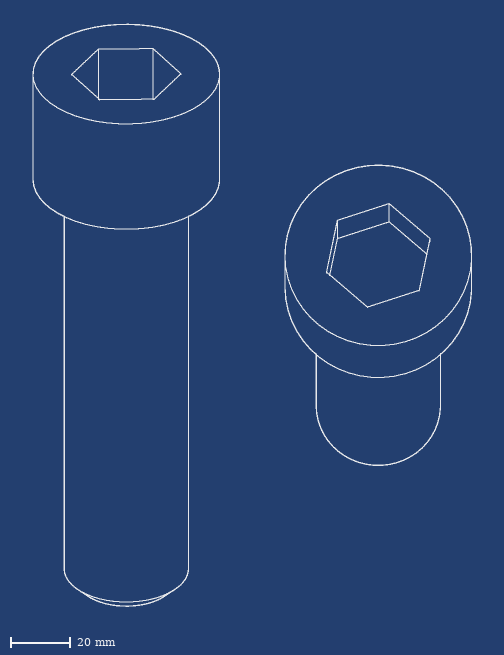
import cadquery as cq

total_length = 202.0
shank_diameter = 42.0
head_diameter = 63.0
head_height = shank_diameter
shank_length = total_length - head_height
tip_chamfer = 4.6
socket_across_flats = 32.0
socket_depth = 24.0
hexagon_turn = 30

head = cq.Workplane("XY").circle(head_diameter / 2).extrude(head_height)

shank = (
    cq.Workplane("XY")
    .circle(shank_diameter / 2)
    .extrude(-shank_length)
    .faces("<Z")
    .chamfer(tip_chamfer)
)

socket = (
    cq.Workplane("XY")
    .workplane(offset=head_height - socket_depth)
    .polygon(6, socket_across_flats, circumscribed=True)
    .extrude(socket_depth)
    .rotate((0, 0, 0), (0, 0, 1), hexagon_turn)
)

result = head.union(shank).cut(socket)